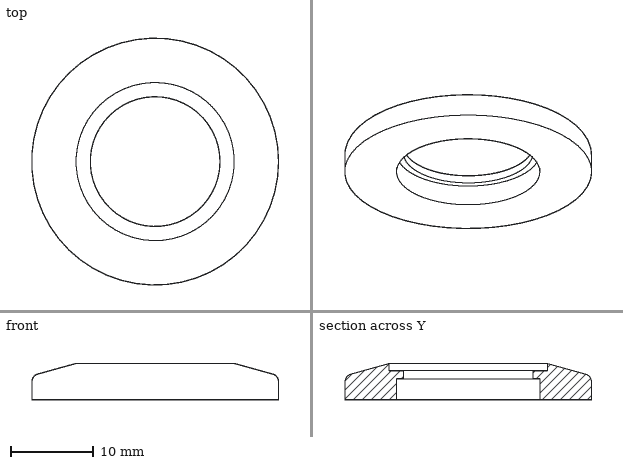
import cadquery as cq
import math

outer_radius = 15.0
height = 4.45
edge_radius = 1.0
slope_angle = math.radians(15.5)

recess_radius = 9.6
recess_depth = 0.9
lip_radius = 7.85
lip_thickness = 1.0
lower_radius = 8.7

lip_top = height - recess_depth
lip_bottom = lip_top - lip_thickness

arc_center_r = outer_radius - edge_radius
cone_edge_r = arc_center_r + edge_radius * math.sin(slope_angle)
cone_edge_z = height - (cone_edge_r - recess_radius) * math.tan(slope_angle)
arc_center_z = cone_edge_z - edge_radius * math.cos(slope_angle)
mid_angle = (math.pi / 2 - slope_angle) / 2
arc_middle = (
    arc_center_r + edge_radius * math.cos(mid_angle),
    arc_center_z + edge_radius * math.sin(mid_angle),
)

section = (
    cq.Workplane("XZ")
    .moveTo(lower_radius, 0)
    .lineTo(outer_radius, 0)
    .lineTo(outer_radius, arc_center_z)
    .threePointArc(arc_middle, (cone_edge_r, cone_edge_z))
    .lineTo(recess_radius, height)
    .lineTo(recess_radius, lip_top)
    .lineTo(lip_radius, lip_top)
    .lineTo(lip_radius, lip_bottom)
    .lineTo(lower_radius, lip_bottom)
    .close()
)
result = section.revolve(360, (0, 0, 0), (0, 1, 0))